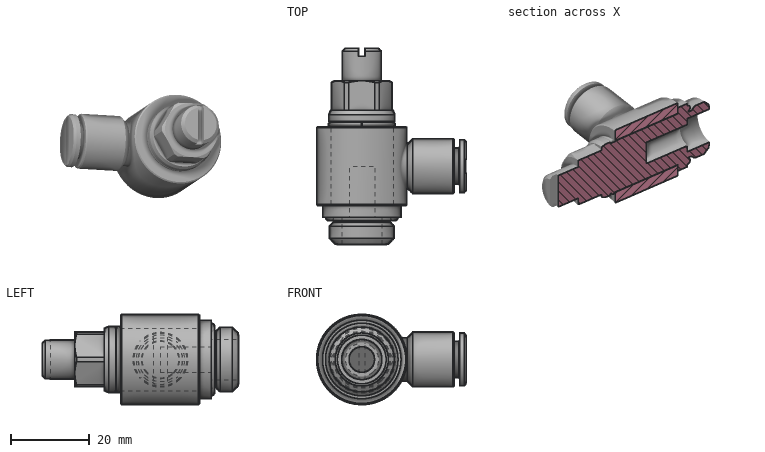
import cadquery as cq
import math


sleeve_dia = 23.0
sleeve_length = 20.1
sleeve_start_y = 9.95
sleeve_end_y = sleeve_start_y + sleeve_length
sleeve_chamfer = 0.3
swivel_dia = 15.9

port_y = (sleeve_start_y + sleeve_end_y) / 2
port_dia = 14.0
port_neck_dia = 11.15
port_neck_fillet = 0.4
port_cone_start_x = 11.6
port_cone_length = (port_dia - port_neck_dia) / 2
port_end_x = 23.5
port_end_chamfer = 0.3

collet_neck_dia = 9.3
collet_flange_dia = 13.5
collet_flange_x = 24.9
collet_end_x = 26.6
collet_end_chamfer = 0.6
collet_root_chamfer = 0.2
collet_notch_width = 3.5
collet_notch_depth = 0.15

tip_rim_dia = 12.4
tip_rim_height = 0.15
thread_dia = 16.5
thread_tip_dia = 13.5
thread_start_y = 1.7
thread_end_y = 4.75
undercut_dia = 14.5
undercut_y = thread_end_y + (thread_dia - undercut_dia) / 2

seal_flange_dia = 20.0
seal_flange_y = 6.95
seal_ring_radius = 8.25
seal_section_radius = 1.0
seal_ring_y = 7.1

snap_section_radius = 0.55
snap_ring_radius = swivel_dia / 2
snap_ring_y = sleeve_end_y + snap_section_radius
snap_gap = 0.35

collar_dia = 16.85
collar_start_y = 31.35
collar_cone_y = 33.1
hex_start_y = 34.2
hex_end_y = 41.7
hex_sides = 6
hex_across_flats = 14.0
hex_corner_dia = 15.5
hex_chamfer_angle = 30.0

screw_dia = 10.0
screw_end_y = 50.0
screw_chamfer = 0.8
slot_width = 1.55
slot_depth = 2.0

bore_dia = 10.25
bore_depth = 7.0
passage_dia = 6.5
passage_end_y = port_y


def rod_y(diameter, start_y, end_y):
    """Round rod on the Y axis between two heights."""
    circle = cq.Workplane("XZ", origin=(0, start_y, 0)).circle(diameter / 2)
    return circle.extrude(start_y - end_y)


def turned_y(profile):
    """Solid of revolution about Y from an outline of (radius, y) points."""
    return cq.Workplane("XY").polyline(profile).close().revolve(360, (0, 0, 0), (0, 1, 0))


def make_sleeve_with_neck():
    """Chamfered sleeve and the filleted root of its side port."""
    sleeve = rod_y(sleeve_dia, sleeve_start_y, sleeve_end_y).faces("<Y or >Y").chamfer(sleeve_chamfer)
    neck_length = sleeve_dia
    neck = cq.Workplane("YZ").center(port_y, 0).circle(port_neck_dia / 2).extrude(neck_length)
    body = sleeve.union(neck)
    root_edge = cq.selectors.BoxSelector(
        (0, port_y - port_dia / 2, -port_dia / 2),
        (port_cone_start_x, port_y + port_dia / 2, port_dia / 2),
    )
    body = body.edges(root_edge).fillet(port_neck_fillet)
    neck_end = cq.Workplane("YZ", origin=(port_cone_start_x, port_y, 0))
    beyond_neck = neck_end.circle(sleeve_dia).extrude(neck_length)
    return body.cut(beyond_neck)


def make_port():
    """Tube socket and collet turned about the port axis, with a shallow notch across the end face."""
    port_radius = port_dia / 2
    flange_radius = collet_flange_dia / 2
    outline = [
        (port_cone_start_x, 0),
        (port_cone_start_x, port_neck_dia / 2),
        (port_cone_start_x + port_cone_length, port_radius),
        (port_end_x - port_end_chamfer, port_radius),
        (port_end_x, port_radius - port_end_chamfer),
        (port_end_x, collet_neck_dia / 2),
        (collet_flange_x - collet_root_chamfer, collet_neck_dia / 2),
        (collet_flange_x, collet_neck_dia / 2 + collet_root_chamfer),
        (collet_flange_x, flange_radius),
        (collet_end_x - collet_end_chamfer, flange_radius),
        (collet_end_x, flange_radius - collet_end_chamfer),
        (collet_end_x, 0),
    ]
    port = cq.Workplane("XY").polyline(outline).close().revolve(360, (0, 0, 0), (1, 0, 0))
    notch = cq.Workplane("XY").box(2 * collet_notch_depth, collet_notch_width, 2 * collet_flange_dia)
    return port.cut(notch.translate((collet_end_x, 0, 0))).translate((0, port_y, 0))


def make_housing():
    housing = make_sleeve_with_neck().union(make_port())
    return housing.cut(rod_y(swivel_dia, sleeve_start_y, sleeve_end_y))


def make_bolt_blank():
    """Turned outline of the bolt without its hexagon."""
    screw_radius = screw_dia / 2
    return turned_y([
        (0, 0),
        (tip_rim_dia / 2, 0),
        (tip_rim_dia / 2, tip_rim_height),
        (thread_tip_dia / 2, tip_rim_height),
        (thread_dia / 2, thread_start_y),
        (thread_dia / 2, thread_end_y),
        (undercut_dia / 2, undercut_y),
        (undercut_dia / 2, seal_flange_y),
        (seal_flange_dia / 2, seal_flange_y),
        (seal_flange_dia / 2, sleeve_start_y),
        (swivel_dia / 2, sleeve_start_y),
        (swivel_dia / 2, collar_start_y),
        (collar_dia / 2, collar_start_y),
        (collar_dia / 2, collar_cone_y),
        (swivel_dia / 2, hex_start_y),
        (screw_radius, hex_start_y),
        (screw_radius, screw_end_y - screw_chamfer),
        (screw_radius - screw_chamfer, screw_end_y),
        (0, screw_end_y),
    ])


def make_hexagon():
    """Hexagon with flats facing +Z and -Z, rounded corners and a conical top chamfer."""
    flat_radius = hex_across_flats / 2
    corner_radius = hex_corner_dia / 2
    sharp_corner_dia = hex_across_flats / math.cos(math.pi / hex_sides)
    height = hex_end_y - hex_start_y
    prism = (
        cq.Workplane("XZ", origin=(0, hex_start_y, 0))
        .polygon(hex_sides, sharp_corner_dia)
        .extrude(-height)
    )
    chamfer_drop = (corner_radius - flat_radius) * math.tan(math.radians(hex_chamfer_angle))
    envelope = turned_y([
        (0, hex_start_y),
        (corner_radius, hex_start_y),
        (corner_radius, hex_end_y - chamfer_drop),
        (flat_radius, hex_end_y),
        (0, hex_end_y),
    ])
    return prism.intersect(envelope)


def make_snap_ring():
    """Exposed outer half of a round-wire ring above the sleeve, split on the +Z side."""
    ring = (
        cq.Workplane("XY")
        .moveTo(snap_ring_radius, sleeve_end_y)
        .threePointArc(
            (snap_ring_radius + snap_section_radius, snap_ring_y),
            (snap_ring_radius, snap_ring_y + snap_section_radius),
        )
        .close()
        .revolve(360, (0, 0, 0), (0, 1, 0))
    )
    gap = cq.Workplane("XY").box(snap_gap, 4 * snap_section_radius, sleeve_dia, centered=(True, True, False))
    return ring.cut(gap.translate((0, snap_ring_y, 0)))


def make_seal():
    """O-ring bedded in the lower face of the seal flange."""
    section = cq.Workplane("XY").center(seal_ring_radius, seal_ring_y).circle(seal_section_radius)
    return section.revolve(360, (-seal_ring_radius, 0, 0), (-seal_ring_radius, 1, 0))


def make_bolt():
    bolt = make_bolt_blank().union(make_hexagon()).union(make_snap_ring()).union(make_seal())
    slot = cq.Workplane("XY").box(slot_width, 2 * slot_depth, screw_dia).translate((0, screw_end_y, 0))
    bore = rod_y(bore_dia, 0, bore_depth)
    passage = rod_y(passage_dia, bore_depth, passage_end_y)
    return bolt.cut(slot).cut(bore).cut(passage)


housing = make_housing()
bolt = make_bolt()

result = cq.Compound.makeCompound([housing.solids().val(), bolt.solids().val()])